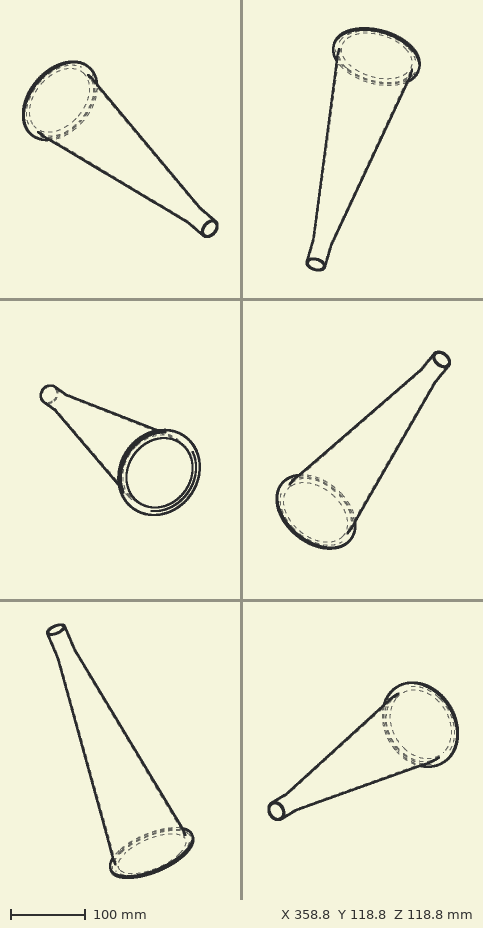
import cadquery as cq
import math

length = 358.8
flange_diameter = 118.8

neck_diameter = 101.5
bore_diameter = 97.2
neck_end = 15.5

tube_diameter = 25.5
tube_bore_diameter = 22.2
tube_length = 38.7

rim_thickness = 3.0
back_angle = 20.0
root_radius = 1.5

groove_diameter = 110.5
groove_floor_radius = 1.5
groove_lip_radius = 0.5
groove_depth = 1.5

flange_radius = flange_diameter / 2
neck_radius = neck_diameter / 2
bore_radius = bore_diameter / 2
tube_radius = tube_diameter / 2
tube_bore_radius = tube_bore_diameter / 2
tube_start = length - tube_length
back_slope = math.tan(math.radians(back_angle))
flange_back = rim_thickness + (flange_radius - neck_radius) * back_slope


def make_flange():
    """Clamp flange with a tapered back and a rounded root at the neck."""
    root_setback = root_radius * math.tan(math.radians(90 - back_angle) / 2)
    root_start = (
        flange_back - root_setback * math.sin(math.radians(back_angle)),
        neck_radius + root_setback * math.cos(math.radians(back_angle)),
    )
    root_end = (flange_back + root_setback, neck_radius)
    profile = (
        cq.Workplane("XY")
        .moveTo(0, 0)
        .lineTo(0, flange_radius)
        .lineTo(rim_thickness, flange_radius)
        .lineTo(*root_start)
        .radiusArc(root_end, -root_radius)
        .lineTo(root_end[0], 0)
        .close()
    )
    return profile.revolve(360, (0, 0, 0), (1, 0, 0))


def make_stepped_cone(large_radius, small_radius):
    """Straight large end, cone and straight small end along X."""
    profile = (
        cq.Workplane("XY")
        .lineTo(0, large_radius)
        .lineTo(neck_end, large_radius)
        .lineTo(tube_start, small_radius)
        .lineTo(length, small_radius)
        .lineTo(length, 0)
        .close()
    )
    return profile.revolve(360, (0, 0, 0), (1, 0, 0))


def make_groove():
    """Ring-shaped gasket groove: a circular-arc floor blended to the face by rounded lips."""
    middle = groove_diameter / 2
    floor_center = groove_depth - groove_floor_radius
    center_gap = groove_floor_radius + groove_lip_radius
    lip_offset = math.sqrt(center_gap**2 - (groove_lip_radius - floor_center) ** 2)
    share = groove_floor_radius / center_gap
    blend_x = floor_center + (groove_lip_radius - floor_center) * share
    blend_offset = lip_offset * share
    profile = (
        cq.Workplane("XY")
        .moveTo(0, middle - lip_offset)
        .radiusArc((blend_x, middle - blend_offset), groove_lip_radius)
        .threePointArc((groove_depth, middle), (blend_x, middle + blend_offset))
        .radiusArc((0, middle + lip_offset), groove_lip_radius)
        .close()
    )
    return profile.revolve(360, (0, 0, 0), (1, 0, 0))


outside = make_stepped_cone(neck_radius, tube_radius).union(make_flange())
inside = make_stepped_cone(bore_radius, tube_bore_radius)
result = outside.cut(inside).cut(make_groove())